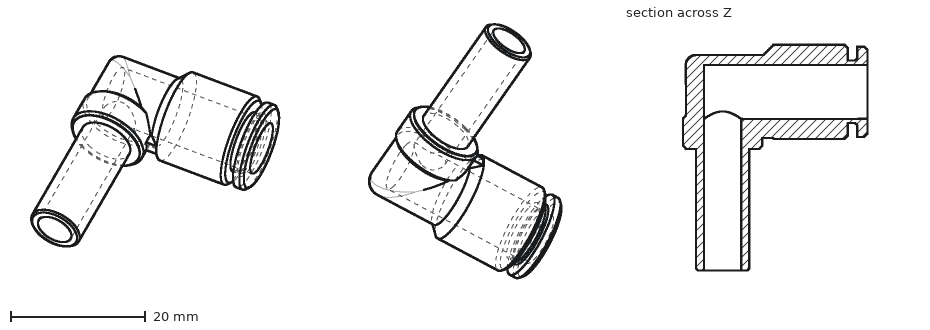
import cadquery as cq

overall_length = 33.5

elbow_radius = 5.5
corner_radius = 1.5

cone_start = 6.05
cone_end = 7.57
socket_radius = 7.0
socket_end = 18.6
socket_chamfer = 0.5
ring_neck_radius = 4.7
ring_start = 19.95
ring_flare = 0.3
ring_flare_start = ring_start - ring_flare
ring_radius = 6.75
ring_end = 21.5
ring_chamfer = 0.5

collar_radius = 5.9
shoulder_start = 3.52
shoulder_length = 0.4
collar_end = 8.48
collar_chamfer = 0.5
stem_radius = 4.0
stem_end = overall_length - socket_radius
stem_chamfer = 0.3
stem_bore_radius = 2.75
socket_bore_radius = stem_radius

web_thickness = 1.98
web_depth = 6.87


def along_x(radius, start, end):
    return cq.Workplane("YZ", origin=(start, 0, 0)).circle(radius).extrude(end - start)


def along_stem(radius, start, end):
    return cq.Workplane("XZ", origin=(0, -start, 0)).circle(radius).extrude(end - start)


def make_elbow():
    """Two equal cylinders meeting in a mitre whose outer corner is rounded."""
    corner = along_x(elbow_radius, -elbow_radius, elbow_radius).intersect(
        along_stem(elbow_radius, -elbow_radius, elbow_radius)
    )
    outer_edges = cq.selectors.BoxSelector(
        (-elbow_radius, 0, -elbow_radius), (0, elbow_radius, elbow_radius)
    )
    corner = corner.edges(outer_edges).fillet(corner_radius)
    socket_arm = along_x(elbow_radius, 0, cone_end)
    stem_arm = along_stem(elbow_radius, 0, collar_end)
    return corner.union(socket_arm).union(stem_arm)


def make_socket():
    """Conical shoulder, socket barrel and flanged release ring, turned about X."""
    profile = [
        (cone_start, 0),
        (cone_start, elbow_radius),
        (cone_end, socket_radius),
        (socket_end - socket_chamfer, socket_radius),
        (socket_end, socket_radius - socket_chamfer),
        (socket_end, ring_neck_radius),
        (ring_flare_start, ring_neck_radius),
        (ring_start, ring_neck_radius + ring_flare),
        (ring_start, ring_radius),
        (ring_end - ring_chamfer, ring_radius),
        (ring_end, ring_radius - ring_chamfer),
        (ring_end, 0),
    ]
    return cq.Workplane("XY").polyline(profile).close().revolve(360, (0, 0, 0), (1, 0, 0))


def make_stem():
    """Shouldered collar and tube stem, turned about Y."""
    profile = [
        (0, -shoulder_start),
        (elbow_radius, -shoulder_start),
        (collar_radius, -shoulder_start - shoulder_length),
        (collar_radius, collar_chamfer - collar_end),
        (collar_radius - collar_chamfer, -collar_end),
        (stem_radius, -collar_end),
        (stem_radius, stem_chamfer - stem_end),
        (stem_radius - stem_chamfer, -stem_end),
        (0, -stem_end),
    ]
    return cq.Workplane("XY").polyline(profile).close().revolve(360, (0, 0, 0), (0, 1, 0))


def make_web():
    return (
        cq.Workplane("XY")
        .rect(cone_end, -web_depth, centered=False)
        .extrude(web_thickness / 2, both=True)
    )


body = make_elbow().union(make_socket()).union(make_stem()).union(make_web())

stem_bore = along_stem(stem_bore_radius, 0, stem_end)
socket_bore = along_x(socket_bore_radius, -stem_bore_radius, ring_end)
result = body.cut(stem_bore).cut(socket_bore)